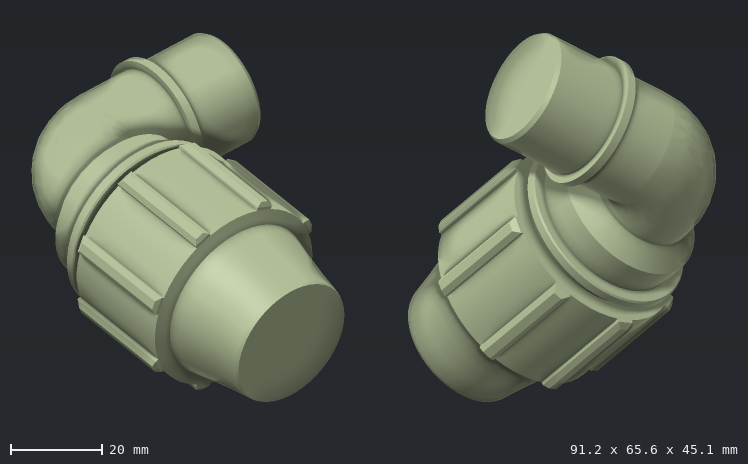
import cadquery as cq
import math

pipe_radius = 13.2
bend_radius = 10.7
spigot_end = 43.05
spigot_chamfer_length = 1.0
spigot_chamfer_depth = 0.6
collar_radius = 30.4 / 2
collar_start = 23.0
collar_width = 2.0

neck_end = 12.2
body_start = 16.3
body_radius = 36.0 / 2
ring_start = 23.6
ring_width = 2.55
ring_radius = 21
ring_chamfer = 0.4

nut_start = 28.9
nut_shoulder = 56.0
nut_radius = 22.25
sleeve_start = 57.1
sleeve_start_radius = 19.0
sleeve_middle_radius = 16.9
sleeve_lip = 75.3
sleeve_lip_radius = 15.2
sleeve_end = 91.2 - collar_radius
sleeve_end_radius = 15.0

rib_count = 8
rib_step = 360 / rib_count
rib_top_radius = 24.0
rib_top_width = 2.1
rib_base_width = 4.2
rib_top_start = 30.2
rib_top_end = 55.45
rib_wall_radius = 22.9
rib_embed = 0.9


def make_elbow():
    """Quarter bend whose round section is cut off where it would cross the bend axis."""
    half_chord = math.sqrt(pipe_radius**2 - bend_radius**2)
    section = (
        cq.Workplane("XZ", origin=(0, bend_radius, 0))
        .moveTo(bend_radius, -half_chord)
        .threePointArc((-pipe_radius, 0), (bend_radius, half_chord))
        .close()
    )
    return section.revolve(90, (bend_radius, 0, 0), (bend_radius, 1, 0))


def make_spigot():
    """Straight pipe along Y with a chamfered end and a locating collar."""
    profile = [
        (0, bend_radius),
        (pipe_radius, bend_radius),
        (pipe_radius, collar_start),
        (collar_radius, collar_start),
        (collar_radius, collar_start + collar_width),
        (pipe_radius, collar_start + collar_width),
        (pipe_radius, spigot_end - spigot_chamfer_length),
        (pipe_radius - spigot_chamfer_depth, spigot_end),
        (0, spigot_end),
    ]
    return cq.Workplane("XY").polyline(profile).close().revolve(360, (0, 0, 0), (0, 1, 0))


def make_coupling():
    """Neck, cone, body, nut and tapered sleeve turned about X."""
    profile = (
        cq.Workplane("XY")
        .moveTo(bend_radius, 0)
        .lineTo(bend_radius, pipe_radius)
        .lineTo(neck_end, pipe_radius)
        .lineTo(body_start, body_radius)
        .lineTo(nut_start, body_radius)
        .lineTo(nut_start, nut_radius)
        .lineTo(nut_shoulder, nut_radius)
        .lineTo(sleeve_start, sleeve_start_radius)
        .threePointArc(
            ((sleeve_start + sleeve_lip) / 2, sleeve_middle_radius),
            (sleeve_lip, sleeve_lip_radius),
        )
        .lineTo(sleeve_end, sleeve_end_radius)
        .lineTo(sleeve_end, 0)
        .close()
    )
    return profile.revolve(360, (0, 0, 0), (1, 0, 0))


def make_ring():
    """Chamfered ring on the body in front of the nut."""
    ring = cq.Workplane("YZ", origin=(ring_start, 0, 0)).circle(ring_radius).extrude(ring_width)
    return ring.edges().chamfer(ring_chamfer)


def make_rib():
    """One grip rib on the +Z side, with straight walls below a crest that slopes on all four sides."""
    base_length = nut_shoulder - nut_start
    base_middle = (nut_start + nut_shoulder) / 2
    top_length = rib_top_end - rib_top_start
    top_middle = (rib_top_start + rib_top_end) / 2
    base = cq.Workplane("XY", origin=(base_middle, 0, rib_wall_radius))
    root = base.rect(base_length, rib_base_width).extrude(nut_radius - rib_embed - rib_wall_radius)
    crest = (
        base.rect(base_length, rib_base_width)
        .workplane(offset=rib_top_radius - rib_wall_radius)
        .center(top_middle - base_middle, 0)
        .rect(top_length, rib_top_width)
        .loft(ruled=True)
    )
    return root.union(crest)


result = make_coupling().union(make_elbow()).union(make_spigot()).union(make_ring())
rib = make_rib()
for index in range(rib_count):
    angle = (index + 0.5) * rib_step
    result = result.union(rib.rotate((0, 0, 0), (1, 0, 0), angle))